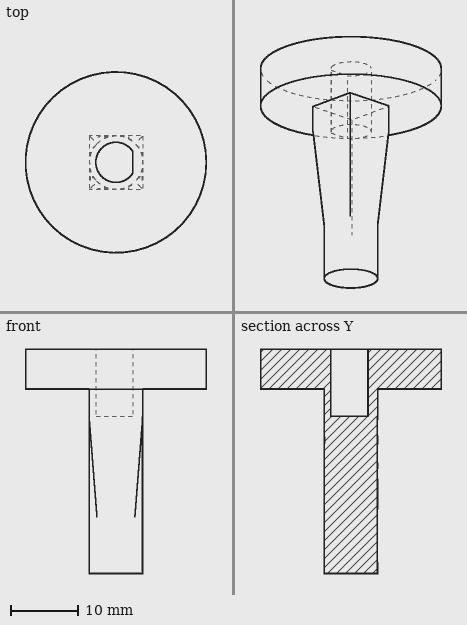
import cadquery as cq
import math

disc_diameter = 27.0
disc_height = 6.0

total_height = 33.5
shank_width = 8.0
neck_height = 4.02
tip_height = 8.5

bore_diameter = 6.0
bore_flat_offset = 2.5
bore_depth = disc_height + neck_height

disc_bottom = total_height - disc_height
neck_bottom = disc_bottom - neck_height


def round_outline(height):
    """Circle in four quarter arcs that meet on the diagonals, below the square's corners."""
    radius = shank_width / 2
    diagonal = radius * math.sqrt(0.5)
    return (
        cq.Workplane("XY", origin=(0, 0, height))
        .moveTo(-diagonal, -diagonal)
        .threePointArc((0, -radius), (diagonal, -diagonal))
        .threePointArc((radius, 0), (diagonal, diagonal))
        .threePointArc((0, radius), (-diagonal, diagonal))
        .threePointArc((-radius, 0), (-diagonal, -diagonal))
        .close()
    )


def square_outline(height):
    return cq.Workplane("XY", origin=(0, 0, height)).rect(shank_width, shank_width)


def make_transition():
    """Ruled blend from the round tip up to the square neck."""
    lower_wire = round_outline(tip_height).val()
    upper_wire = square_outline(neck_bottom).val()
    return cq.Workplane(cq.Solid.makeLoft([lower_wire, upper_wire], True))


def make_bore():
    """Round bore cut off by a flat on the +X side."""
    bore_bottom = total_height - bore_depth
    cylinder = cq.Workplane("XY", origin=(0, 0, bore_bottom)).circle(bore_diameter / 2).extrude(bore_depth)
    beyond_flat = (
        cq.Workplane("XY", origin=(bore_flat_offset + bore_diameter / 2, 0, bore_bottom))
        .rect(bore_diameter, bore_diameter)
        .extrude(bore_depth)
    )
    return cylinder.cut(beyond_flat)


tip = round_outline(0).extrude(tip_height)
neck = square_outline(neck_bottom).extrude(neck_height)
disc = cq.Workplane("XY", origin=(0, 0, disc_bottom)).circle(disc_diameter / 2).extrude(disc_height)

result = tip.union(make_transition()).union(neck).union(disc).cut(make_bore())